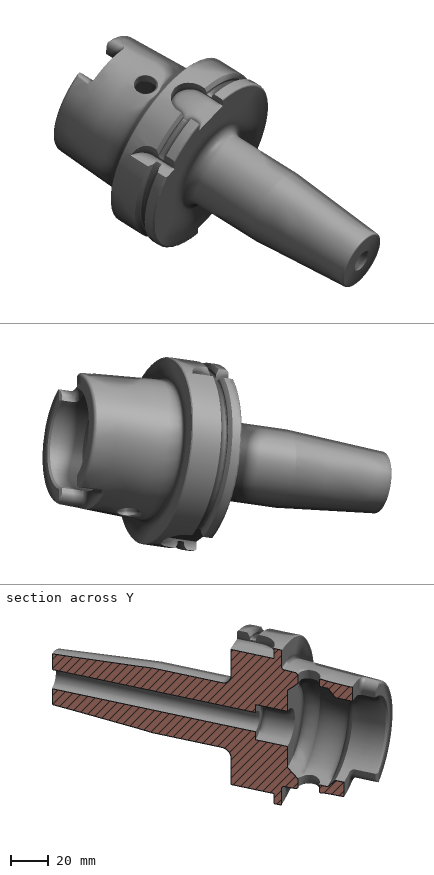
import cadquery as cq
import math

total_length = 180.0

taper_length = 50.0
collar_width = 2.2
taper_radius = 75.5 / 2
taper_slope = 1 / 20
collar_start = taper_length - collar_width
end_radius = taper_radius - taper_slope * collar_start
end_round = 1.8
collar_fillet = 1.3

flange_radius = 100.0 / 2
flange_width = 29.0
flange_end = taper_length + flange_width
flange_chamfer = 0.5
flange_round = 1.3
groove_center = taper_length + 20.0
groove_mouth_half = 3.2
groove_neck_half = 1.8
groove_flank_depth = (groove_mouth_half - groove_neck_half) * math.tan(math.radians(60))
groove_radius = 45.9
groove_corner_fillet = 0.5

shank_radius = 42.0 / 2
shank_fillet = 5.0
shank_end = 122.8
tip_half_angle = 4.5
tip_radius = shank_radius - (total_length - shank_end) * math.tan(math.radians(tip_half_angle))
tip_round = 0.9

mouth_radius = 53.0 / 2
mouth_chamfer = 1.0
clamp_start = 19.8
clamp_radius = 63.0 / 2
clamp_half_angle = 50
clamp_end = clamp_start + (clamp_radius - mouth_radius) / math.tan(math.radians(clamp_half_angle))
floor_radius = 24.8
floor_position = 46.8
floor_cone_start = floor_position - (clamp_radius - floor_radius)
tube_diameter = 22.3
tube_depth = 18.0
bore_diameter = 12.0

cross_hole_diameter = 12.0
cross_hole_position = 35.0
cross_hole_countersink = 13.5
countersink_overshoot = 1.8

drive_width = 20.2
drive_depth_top = 10.0
drive_depth_bottom = 14.8
drive_edge_radius = 5.0
drive_edge_height = 32.0
drive_floor_fillet = 2.3
drive_lead_width = 1.8
drive_lead_depth = 0.9

key_floor = 43.5
key_width_top = 20.2
key_width_bottom = 22.3
key_start = 54.7

notch_wall = 31.5
notch_floor = 31.7
notch_width = 20.2

clearance = 18.0


def revolve_about_x(outline):
    return outline.close().revolve(360, (0, 0, 0), (1, 0, 0))


def turned_over(cutter):
    """The same cutter on the -Z side."""
    return cutter.rotate((0, 0, 0), (1, 0, 0), 180)


def turned_body():
    neck_radius = flange_radius - groove_flank_depth
    groove_bottom_half = groove_neck_half - groove_corner_fillet
    corner = math.sqrt(0.5)
    outline = (
        cq.Workplane("XY")
        .lineTo(0, end_radius - end_round)
        .threePointArc(
            (end_round * (1 - corner), end_radius - end_round * (1 - corner)),
            (end_round, end_radius + taper_slope * end_round),
        )
        .lineTo(collar_start, taper_radius)
        .lineTo(taper_length - collar_fillet, taper_radius)
        .radiusArc((taper_length, taper_radius + collar_fillet), -collar_fillet)
        .lineTo(taper_length, flange_radius - flange_chamfer)
        .lineTo(taper_length + flange_chamfer, flange_radius)
        .lineTo(groove_center - groove_mouth_half, flange_radius)
        .lineTo(groove_center - groove_neck_half, neck_radius)
        .lineTo(groove_center - groove_neck_half, groove_radius + groove_corner_fillet)
        .radiusArc((groove_center - groove_bottom_half, groove_radius), -groove_corner_fillet)
        .lineTo(groove_center + groove_bottom_half, groove_radius)
        .radiusArc(
            (groove_center + groove_neck_half, groove_radius + groove_corner_fillet),
            -groove_corner_fillet,
        )
        .lineTo(groove_center + groove_neck_half, neck_radius)
        .lineTo(groove_center + groove_mouth_half, flange_radius)
        .lineTo(flange_end - flange_round, flange_radius)
        .radiusArc((flange_end, flange_radius - flange_round), flange_round)
        .lineTo(flange_end, shank_radius + shank_fillet)
        .radiusArc((flange_end + shank_fillet, shank_radius), -shank_fillet)
        .lineTo(shank_end, shank_radius)
        .lineTo(total_length, tip_radius)
        .lineTo(total_length, 0)
    )
    return revolve_about_x(outline).faces(">X").edges().fillet(tip_round)


def cavity():
    outline = (
        cq.Workplane("XY")
        .lineTo(0, mouth_radius + mouth_chamfer)
        .lineTo(mouth_chamfer, mouth_radius)
        .lineTo(clamp_start, mouth_radius)
        .lineTo(clamp_end, clamp_radius)
        .lineTo(floor_cone_start, clamp_radius)
        .lineTo(floor_position, floor_radius)
        .lineTo(floor_position, 0)
    )
    return revolve_about_x(outline)


def axial_hole(diameter, start, length):
    return cq.Workplane("YZ", origin=(start, 0, 0)).circle(diameter / 2).extrude(length)


def cross_holes():
    """Through hole along Z with a 45 degree countersink at both outer ends."""
    hole_radius = cross_hole_diameter / 2
    rim_radius = cross_hole_countersink / 2
    rim_height = end_radius + taper_slope * cross_hole_position
    cone_start = rim_height - (rim_radius - hole_radius)
    cone_end = rim_height + countersink_overshoot
    outline = (
        cq.Workplane("XZ", origin=(cross_hole_position, 0, 0))
        .lineTo(hole_radius, 0)
        .lineTo(hole_radius, cone_start)
        .lineTo(rim_radius + countersink_overshoot, cone_end)
        .lineTo(0, cone_end)
        .close()
    )
    upper_hole = outline.revolve(360, (0, 0, 0), (0, 1, 0))
    return upper_hole.union(turned_over(upper_hole))


def drive_slot(depth):
    """Slot on the +Z side, flaring over rounded edges to the outside."""
    half = drive_width / 2
    arc_start = drive_edge_height - drive_edge_radius
    flare = half + drive_edge_radius
    reach = flare + clearance
    top = drive_edge_height + clearance
    slot = (
        cq.Workplane("YZ", origin=(-clearance, 0, 0))
        .moveTo(-half, 0)
        .lineTo(-half, arc_start)
        .radiusArc((-flare, drive_edge_height), -drive_edge_radius)
        .lineTo(-reach, drive_edge_height)
        .lineTo(-reach, top)
        .lineTo(reach, top)
        .lineTo(reach, drive_edge_height)
        .lineTo(flare, drive_edge_height)
        .radiusArc((half, arc_start), -drive_edge_radius)
        .lineTo(half, 0)
        .close()
        .extrude(clearance + depth)
        .faces(">X")
        .edges("not(>Z or <Z or <Y or >Y)")
        .fillet(drive_floor_fillet)
    )
    lead_in = (
        cq.Workplane("XY")
        .moveTo(0, -half - drive_lead_width)
        .lineTo(drive_lead_depth, -half)
        .lineTo(drive_lead_depth, half)
        .lineTo(0, half + drive_lead_width)
        .close()
        .extrude(top)
    )
    return slot.union(lead_in)


def key_slot(width, center_y, floor):
    """Round-ended slot on the +Z side, open towards the tool end of the flange."""
    arc_center = key_start + width / 2
    return (
        cq.Workplane("XY", origin=(0, center_y, floor))
        .moveTo(flange_end, width / 2)
        .lineTo(arc_center, width / 2)
        .threePointArc((key_start, 0), (arc_center, -width / 2))
        .lineTo(flange_end, -width / 2)
        .close()
        .extrude(clearance)
    )


result = (
    turned_body()
    .cut(cavity())
    .cut(axial_hole(tube_diameter, floor_position, tube_depth))
    .cut(axial_hole(bore_diameter, floor_position, total_length - floor_position))
    .cut(cross_holes())
    .cut(drive_slot(drive_depth_top))
    .cut(turned_over(drive_slot(drive_depth_bottom)))
    .cut(key_slot(key_width_top, 0, key_floor))
    .cut(turned_over(key_slot(key_width_bottom, 0, key_floor)))
    .cut(key_slot(notch_width, -notch_wall - notch_width / 2, notch_floor))
)